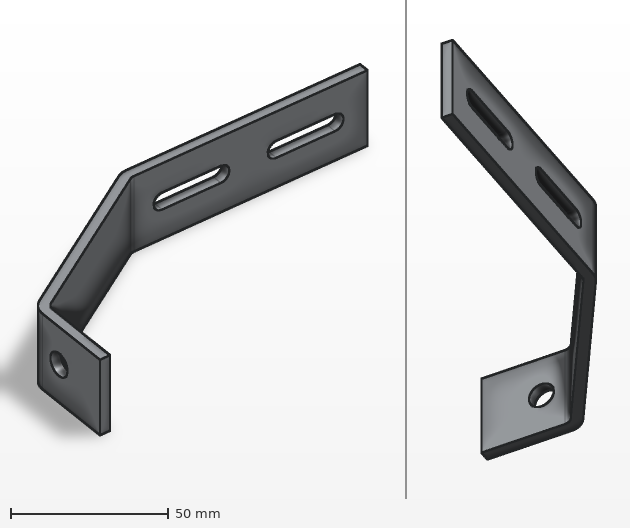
import cadquery as cq
import math

length = 160.0
reach = 75.0
height = 30.0
thickness = 4.0

inner_radius = 3.5
outer_radius = inner_radius + thickness
long_leg = 93.0
long_bend_angle = 32.0
short_bend_angle = 90.0 - long_bend_angle

slot_length = 30.0
slot_width = 6.7
slot_pitch = 45.5
end_to_slot_center = 24.6
hole_diameter = 9.0
hole_to_edge = 21.8

long_bend_y = length - long_leg
slope = math.radians(long_bend_angle)
run = (long_bend_y - outer_radius) / math.cos(slope)
short_bend_x = outer_radius + run * math.sin(slope)


def on_bend(center_x, center_y, radius, angle):
    """Point on a bend, with the angle turned from the -X direction towards -Y."""
    turn = math.radians(angle)
    return (center_x - radius * math.cos(turn), center_y - radius * math.sin(turn))


def long_bend(radius, angle):
    return on_bend(outer_radius, long_bend_y, radius, angle)


def short_bend(radius, angle):
    return on_bend(short_bend_x, outer_radius, radius, angle)


def make_strip():
    long_middle = long_bend_angle / 2
    short_middle = long_bend_angle + short_bend_angle / 2
    return (
        cq.Workplane("XY")
        .moveTo(0, length)
        .lineTo(*long_bend(outer_radius, 0))
        .threePointArc(long_bend(outer_radius, long_middle), long_bend(outer_radius, long_bend_angle))
        .lineTo(*short_bend(outer_radius, long_bend_angle))
        .threePointArc(short_bend(outer_radius, short_middle), short_bend(outer_radius, 90))
        .lineTo(reach, 0)
        .lineTo(reach, thickness)
        .lineTo(*short_bend(inner_radius, 90))
        .threePointArc(short_bend(inner_radius, short_middle), short_bend(inner_radius, long_bend_angle))
        .lineTo(*long_bend(inner_radius, long_bend_angle))
        .threePointArc(long_bend(inner_radius, long_middle), long_bend(inner_radius, 0))
        .lineTo(thickness, length)
        .close()
        .extrude(height)
    )


def make_slots():
    """Two slots in line along the long leg."""
    first_y = length - end_to_slot_center
    centers = [(first_y - i * slot_pitch, height / 2) for i in range(2)]
    return cq.Workplane("YZ").pushPoints(centers).slot2D(slot_length, slot_width).extrude(thickness)


def make_hole():
    """Round hole through the short leg."""
    return (
        cq.Workplane("XZ")
        .center(reach - hole_to_edge, height / 2)
        .circle(hole_diameter / 2)
        .extrude(-thickness)
    )


result = make_strip().cut(make_slots()).cut(make_hole())